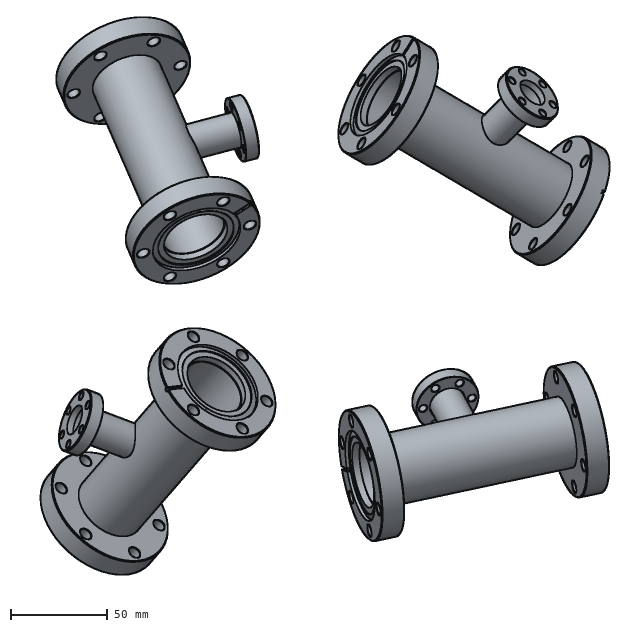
import cadquery as cq
import math

total_length = 125.4
port_face_y = 50.0

tube_outer_radius = 38.0 / 2
tube_inner_radius = 16.9

flange_radius = 70.0 / 2
flange_thickness = 12.7
flange_bore_radius = 17.4
flange_chamfer = 0.5
tube_end_depth = 5.5

bolt_count = 6
bolt_circle_radius = 29.3
bolt_hole_radius = 3.3
bolt_hole_chamfer = 0.3

recess_radius = 24.1
recess_depth = 2.0
knife_radius = 20.8
knife_tip_depth = 0.9
knife_floor_depth = 1.6

groove_width = 1.8
groove_depth = 1.6
groove_angle = -30.0

port_tube_outer_radius = 18.9 / 2
port_tube_inner_radius = 8.0

port_flange_radius = 17.2
port_flange_thickness = 7.5
port_face_chamfer = 0.5
port_back_chamfer = 0.3
port_socket_radius = 9.8
port_socket_depth = 3.8
port_bolt_circle_radius = 13.4
port_bolt_hole_radius = 2.1

face_x = total_length / 2
flange_back_x = face_x - flange_thickness
tube_end_x = face_x - tube_end_depth
port_back_y = port_face_y - port_flange_thickness
port_tube_end_y = port_back_y + port_socket_depth


def cylinder_x(radius, start, end):
    """Cylinder on the X axis between two X positions."""
    return cq.Workplane("YZ").workplane(offset=start).circle(radius).extrude(end - start)


def cylinder_y(radius, start, end):
    """Cylinder on the Y axis between two Y positions."""
    return cq.Workplane("XZ").workplane(offset=-end).circle(radius).extrude(end - start)


def bolt_hole_cutter(radius, start, direction, depth):
    """Cutter for one through hole, widened by a chamfer at both ends."""
    mouth_radius = radius + bolt_hole_chamfer
    far_start = start + direction * (depth - bolt_hole_chamfer)
    shaft = cq.Solid.makeCylinder(radius, depth, start, direction)
    near_cone = cq.Solid.makeCone(mouth_radius, radius, bolt_hole_chamfer, start, direction)
    far_cone = cq.Solid.makeCone(radius, mouth_radius, bolt_hole_chamfer, far_start, direction)
    return shaft.fuse(near_cone, far_cone)


def bolt_circle_points(radius):
    """Evenly spaced points on a bolt circle, as pairs of plane coordinates."""
    angles = [i * 2 * math.pi / bolt_count for i in range(bolt_count)]
    return [(radius * math.cos(angle), radius * math.sin(angle)) for angle in angles]


def make_groove_cutter():
    """Radial leak check groove in the -X flange face."""
    length = flange_radius - knife_radius
    return (
        cq.Workplane("XY")
        .box(groove_depth, length, groove_width)
        .translate((-face_x + groove_depth / 2, knife_radius + length / 2, 0))
        .cut(cylinder_x(recess_radius, -face_x, -flange_back_x))
        .rotate((0, 0, 0), (1, 0, 0), groove_angle)
    )


def make_main_flange():
    """Flange at the -X end, with its sealing face toward -X."""
    profile = [
        (-flange_back_x, tube_outer_radius),
        (-flange_back_x, flange_radius - flange_chamfer),
        (-flange_back_x - flange_chamfer, flange_radius),
        (-face_x + flange_chamfer, flange_radius),
        (-face_x, flange_radius - flange_chamfer),
        (-face_x, recess_radius),
        (-face_x + recess_depth, recess_radius),
        (-face_x + knife_tip_depth, knife_radius),
        (-face_x + knife_floor_depth, knife_radius),
        (-face_x + knife_floor_depth, flange_bore_radius),
        (-tube_end_x, flange_bore_radius),
        (-tube_end_x, tube_outer_radius),
    ]
    flange = cq.Workplane("XY").polyline(profile).close().revolve(360, (0, 0, 0), (1, 0, 0))
    flange = flange.cut(make_groove_cutter())
    along_x = cq.Vector(1, 0, 0)
    for y, z in bolt_circle_points(bolt_circle_radius):
        start = cq.Vector(-face_x, y, z)
        hole = bolt_hole_cutter(bolt_hole_radius, start, along_x, flange_thickness)
        flange = flange.cut(hole)
    return flange


def make_main_tube():
    """Tube along X with an opening on +Y that takes the port tube."""
    return (
        cylinder_x(tube_outer_radius, -tube_end_x, tube_end_x)
        .cut(cylinder_x(tube_inner_radius, -tube_end_x, tube_end_x))
        .cut(cylinder_y(port_tube_outer_radius, 0, tube_outer_radius))
    )


def make_port_tube():
    """Tube along Y, trimmed flush with the bore of the main tube."""
    return (
        cylinder_y(port_tube_outer_radius, 0, port_tube_end_y)
        .cut(cylinder_y(port_tube_inner_radius, 0, port_tube_end_y))
        .cut(cylinder_x(tube_inner_radius, -tube_end_x, tube_end_x))
    )


def make_port_flange():
    """Small flange on the port tube, with a plain face toward +Y."""
    flange = (
        cylinder_y(port_flange_radius, port_back_y, port_face_y)
        .faces(">Y")
        .chamfer(port_face_chamfer)
        .faces("<Y")
        .chamfer(port_back_chamfer)
        .cut(cylinder_y(port_tube_inner_radius, port_back_y, port_face_y))
        .cut(cylinder_y(port_socket_radius, port_back_y, port_tube_end_y))
    )
    along_y = cq.Vector(0, 1, 0)
    for x, z in bolt_circle_points(port_bolt_circle_radius):
        start = cq.Vector(x, port_back_y, z)
        hole = bolt_hole_cutter(port_bolt_hole_radius, start, along_y, port_flange_thickness)
        flange = flange.cut(hole)
    return flange


main_tube = make_main_tube()
port_tube = make_port_tube()
port_flange = make_port_flange()

main_flange = make_main_flange()
main_flanges = [main_flange.rotate((0, 0, 0), (0, 1, 0), turn) for turn in (0, 180)]

result = cq.Compound.makeCompound(
    [
        main_tube.val(),
        port_tube.val(),
        port_flange.val(),
        *[flange.val() for flange in main_flanges],
    ]
)